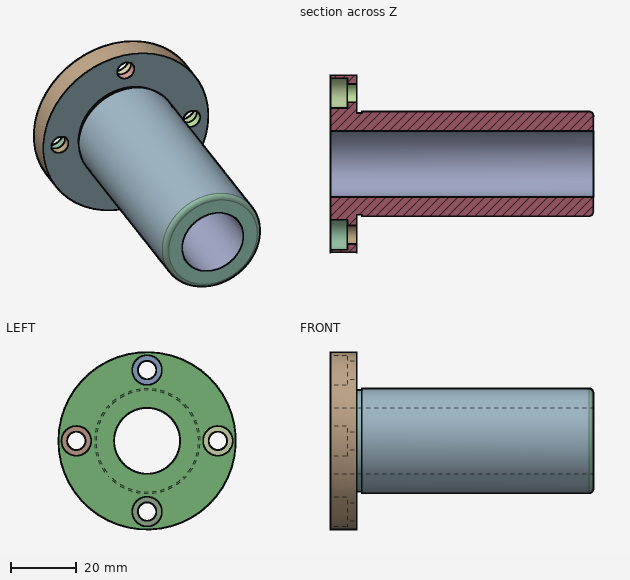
import cadquery as cq

total_length = 80.0
flange_diameter = 54.0
flange_thickness = 8.0
barrel_diameter = 32.0
bore_diameter = 20.0

relief_width = 1.5
relief_diameter = 31.0
end_round_radius = 1.5

hole_count = 4
hole_circle_diameter = 43.0
hole_diameter = 5.5
counterbore_diameter = 9.0
counterbore_depth = 5.1

flange_face_x = -total_length / 2
free_end_x = total_length / 2


def make_body():
    """Revolve the stepped outer profile and the bore about the X axis."""
    flange_back_x = flange_face_x + flange_thickness
    barrel_start_x = flange_back_x + relief_width
    barrel_radius = barrel_diameter / 2
    round_start = (free_end_x - end_round_radius, barrel_radius)
    round_end = (free_end_x, barrel_radius - end_round_radius)
    profile = (
        cq.Workplane("XY")
        .moveTo(flange_face_x, bore_diameter / 2)
        .lineTo(flange_face_x, flange_diameter / 2)
        .lineTo(flange_back_x, flange_diameter / 2)
        .lineTo(flange_back_x, relief_diameter / 2)
        .lineTo(barrel_start_x, relief_diameter / 2)
        .lineTo(barrel_start_x, barrel_radius)
        .lineTo(*round_start)
        .tangentArcPoint(round_end, relative=False)
        .lineTo(free_end_x, bore_diameter / 2)
        .close()
    )
    return profile.revolve(360, (0, 0, 0), (1, 0, 0))


def make_hole_cutters(diameter, depth):
    """Cylinders on the hole circle, running from the flange face along +X."""
    return (
        cq.Workplane("YZ", origin=(flange_face_x, 0, 0))
        .polarArray(hole_circle_diameter / 2, 0, 360, hole_count)
        .circle(diameter / 2)
        .extrude(depth)
    )


result = (
    make_body()
    .cut(make_hole_cutters(hole_diameter, flange_thickness))
    .cut(make_hole_cutters(counterbore_diameter, counterbore_depth))
)